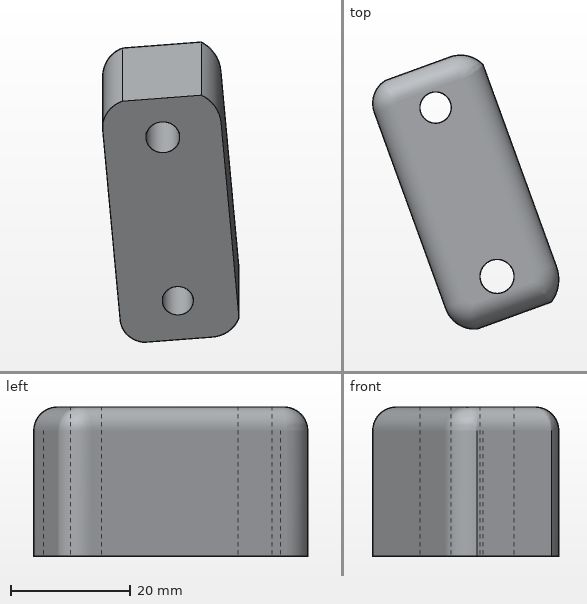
import cadquery as cq
import math

width = 19.85
length = 44.4
height = 25.0
turn_angle = 20.0
top_fillet = 4.0

hole_offset = 15.05
back_hole_diameter = 5.2
front_hole_diameter = 5.65

back_right_cut = (4.8, 3.15)
back_left_cut = (3.65, 4.4)
front_left_cut = (3.73, 5.0)
front_right_cut = (2.85, 5.3)


def corner_arc(x_sign, y_sign, cut, tangent_to_end=False):
    """Return the side-wall point, the arc midpoint and the end-wall point of a corner."""
    end_cut, side_cut = cut
    long_cut, short_cut = (end_cut, side_cut) if tangent_to_end else (side_cut, end_cut)
    radius = (long_cut**2 + short_cut**2) / (2 * short_cut)
    half_sweep = math.asin(long_cut / radius) / 2
    mid_along = radius * math.sin(half_sweep)
    mid_away = radius * (1 - math.cos(half_sweep))
    if tangent_to_end:
        mid_inset = (end_cut - mid_along, mid_away)
    else:
        mid_inset = (mid_away, side_cut - mid_along)

    def place(inset):
        return (x_sign * (width / 2 - inset[0]), y_sign * (length / 2 - inset[1]))

    return place((0, side_cut)), place(mid_inset), place((end_cut, 0))


def make_block():
    """Extrude the round-cornered outline and round its top edge."""
    br_side, br_mid, br_end = corner_arc(1, 1, back_right_cut, tangent_to_end=True)
    bl_side, bl_mid, bl_end = corner_arc(-1, 1, back_left_cut)
    fl_side, fl_mid, fl_end = corner_arc(-1, -1, front_left_cut)
    fr_side, fr_mid, fr_end = corner_arc(1, -1, front_right_cut)
    outline = (
        cq.Workplane("XY")
        .moveTo(*br_side)
        .threePointArc(br_mid, br_end)
        .lineTo(*bl_end)
        .threePointArc(bl_mid, bl_side)
        .lineTo(*fl_side)
        .threePointArc(fl_mid, fl_end)
        .lineTo(*fr_end)
        .threePointArc(fr_mid, fr_side)
        .close()
    )
    return outline.extrude(height).faces(">Z").edges().fillet(top_fillet)


def make_hole(y, diameter):
    """Cutter for a vertical hole through the full height."""
    return cq.Workplane("XY").center(0, y).circle(diameter / 2).extrude(height)


block = make_block()
block = block.cut(make_hole(hole_offset, back_hole_diameter))
block = block.cut(make_hole(-hole_offset, front_hole_diameter))
result = block.rotate((0, 0, 0), (0, 0, 1), turn_angle)